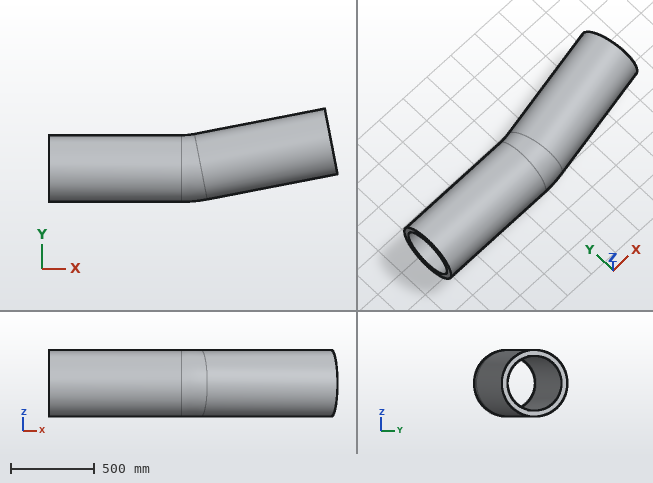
import cadquery as cq
import math

outer_diameter = 400.0
bore_diameter = 327.0
leg_length = 792.0
bend_radius = 600.0
bend_angle = 11.0


def bend_point(angle_degrees):
    """Centreline point after turning through the given angle in the bend."""
    angle = math.radians(angle_degrees)
    x = leg_length + bend_radius * math.sin(angle)
    y = bend_radius * (1 - math.cos(angle))
    return x, y


bend_end_x, bend_end_y = bend_point(bend_angle)
turn = math.radians(bend_angle)
pipe_end = (
    bend_end_x + leg_length * math.cos(turn),
    bend_end_y + leg_length * math.sin(turn),
)
centreline = (
    cq.Workplane("XY")
    .lineTo(leg_length, 0)
    .threePointArc(bend_point(bend_angle / 2), (bend_end_x, bend_end_y))
    .lineTo(*pipe_end)
)

result = (
    cq.Workplane("YZ")
    .circle(outer_diameter / 2)
    .circle(bore_diameter / 2)
    .sweep(centreline)
)